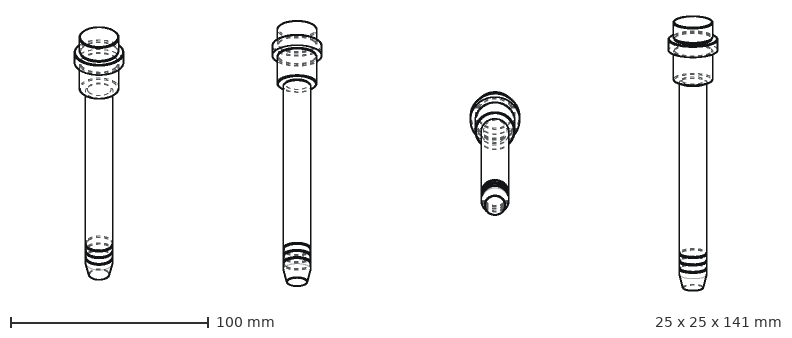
import cadquery as cq

total_length = 141.0
cap_height = 9.0
flange_thickness = 5.9
head_length = 30.9
taper_length = 7.2

flange_diameter = 25.0
head_diameter = 20.0
pin_diameter = 14.0
tip_diameter = 10.6

edge_chamfer = 0.5
flange_chamfer = 0.4
tip_chamfer = 0.3
cap_relief_depth = 0.5
cap_relief_height = 1.1
cap_relief_chamfer = 0.7
collar_relief_depth = 0.5
collar_relief_height = 0.8
neck_depth = 1.0
neck_height = 1.1

groove_count = 3
groove_pitch = 4.0
groove_width = 0.8
groove_depth = 0.4
first_groove_height = 10.5

flange_top = total_length - cap_height
flange_bottom = flange_top - flange_thickness
head_bottom = total_length - head_length
flange_radius = flange_diameter / 2
head_radius = head_diameter / 2
pin_radius = pin_diameter / 2
tip_radius = tip_diameter / 2
cap_relief_radius = head_radius - cap_relief_depth
collar_relief_radius = head_radius - collar_relief_depth
neck_radius = pin_radius - neck_depth


def turned_body():
    """Revolve the half profile of the pin, head and flange about Z."""
    profile = [
        (0, 0),
        (tip_radius - tip_chamfer, 0),
        (tip_radius, tip_chamfer),
        (pin_radius, taper_length),
        (pin_radius, head_bottom - neck_height),
        (neck_radius, head_bottom),
        (head_radius - edge_chamfer, head_bottom),
        (head_radius, head_bottom + edge_chamfer),
        (head_radius, flange_bottom - collar_relief_height),
        (collar_relief_radius, flange_bottom - collar_relief_height + collar_relief_depth),
        (collar_relief_radius, flange_bottom),
        (flange_radius, flange_bottom),
        (flange_radius, flange_top - flange_chamfer),
        (flange_radius - flange_chamfer, flange_top),
        (cap_relief_radius, flange_top),
        (cap_relief_radius, flange_top + cap_relief_height - cap_relief_chamfer),
        (head_radius, flange_top + cap_relief_height),
        (head_radius, total_length - edge_chamfer),
        (head_radius - edge_chamfer, total_length),
        (0, total_length),
    ]
    return cq.Workplane("XZ").polyline(profile).close().revolve(360, (0, 0), (0, 1))


def ring_groove(height):
    """Return a V-section ring centred on the given height."""
    half_width = groove_width / 2
    section = [
        (pin_radius, height - half_width),
        (pin_radius - groove_depth, height),
        (pin_radius, height + half_width),
    ]
    return cq.Workplane("XZ").polyline(section).close().revolve(360, (0, 0), (0, 1))


result = turned_body()
for index in range(groove_count):
    result = result.cut(ring_groove(first_groove_height + index * groove_pitch))